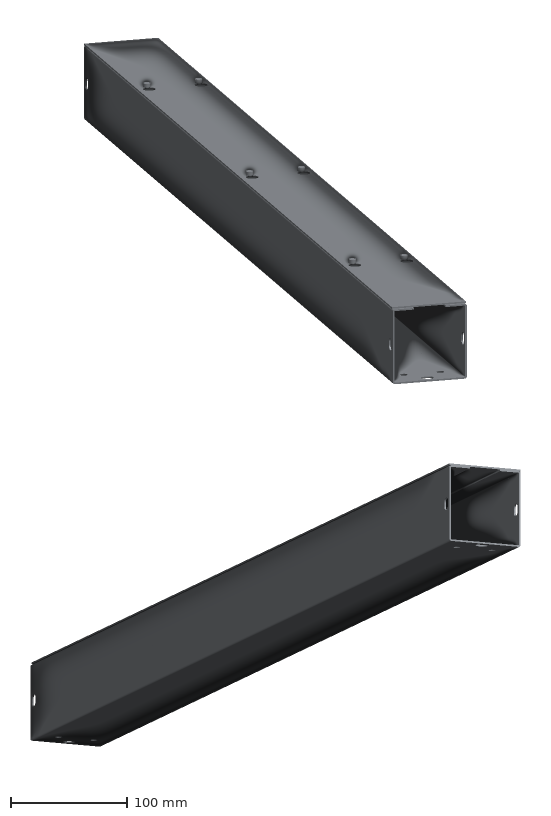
import cadquery as cq

LENGTH = 914.0
WIDTH = 67.0
CHANNEL_HEIGHT = 67.0

SHEET = 1.5
BEND_RADIUS = 2.0
LIP_WIDTH = 19.0

COVER_END_GAP = 3.0

HEAD_DIAMETER = 6.3
HEAD_HEIGHT = 3.5
SHANK_DIAMETER = 4.1
SCREW_LENGTH = 13.0
SCREW_PITCH = 304.5
SCREW_SPAN = 47.0

KEYHOLE_DIAMETER = 11.0
KEYHOLE_SLOT_WIDTH = 5.0
KEYHOLE_REACH = 7.0
KEYHOLE_SLACK = 2.0

END_SLOT_WIDTH = 8.0
END_SLOT_LENGTH = 11.0
END_SLOT_INSET = 7.0
MOUNT_HOLE_DIAMETER = 6.3
MOUNT_HOLE_INSET = 23.0
MOUNT_HOLE_SPAN = 33.0

UPRIGHT = 90

COVER_TOP = CHANNEL_HEIGHT + SHEET
HEIGHT = COVER_TOP + HEAD_HEIGHT
SCREW_POINTS = [
    (column * SCREW_PITCH, side * SCREW_SPAN / 2)
    for column in (-1, 0, 1)
    for side in (-1, 1)
]


def end_positions(inset):
    """X positions at the same inset from both ends of the channel."""
    return (-LENGTH / 2 + inset, LENGTH / 2 - inset)


def tube(width, height, bottom, radius):
    """Full-length bar with rounded long edges, standing on the given height."""
    return (
        cq.Workplane("XY")
        .box(LENGTH, width, height, centered=(True, True, False))
        .edges("|X")
        .fillet(radius)
        .translate((0, 0, bottom))
    )


def make_channel():
    """U-shaped trough with two inward lips, drilled for the screws and for mounting."""
    outside = tube(WIDTH, CHANNEL_HEIGHT, 0, BEND_RADIUS)
    inside = tube(WIDTH - 2 * SHEET, CHANNEL_HEIGHT - 2 * SHEET, SHEET, BEND_RADIUS - SHEET)
    mouth = (
        cq.Workplane("XY", origin=(0, 0, CHANNEL_HEIGHT / 2))
        .box(LENGTH, WIDTH - 2 * LIP_WIDTH, CHANNEL_HEIGHT, centered=(True, True, False))
    )
    channel = outside.cut(inside).cut(mouth)

    screw_holes = (
        cq.Workplane("XY", origin=(0, 0, CHANNEL_HEIGHT / 2))
        .pushPoints(SCREW_POINTS)
        .circle(SHANK_DIAMETER / 2)
        .extrude(CHANNEL_HEIGHT / 2)
    )
    side_slots = (
        cq.Workplane("XZ")
        .pushPoints([(x, COVER_TOP / 2) for x in end_positions(END_SLOT_INSET)])
        .slot2D(END_SLOT_LENGTH, END_SLOT_WIDTH, UPRIGHT)
        .extrude(WIDTH / 2, both=True)
    )
    floor_slots = (
        cq.Workplane("XY")
        .pushPoints([(x, 0) for x in end_positions(END_SLOT_INSET)])
        .slot2D(END_SLOT_LENGTH, END_SLOT_WIDTH, UPRIGHT)
        .extrude(SHEET)
    )
    mount_holes = (
        cq.Workplane("XY")
        .pushPoints([
            (x, side * MOUNT_HOLE_SPAN / 2)
            for x in end_positions(MOUNT_HOLE_INSET)
            for side in (-1, 1)
        ])
        .circle(MOUNT_HOLE_DIAMETER / 2)
        .extrude(SHEET)
    )
    return channel.cut(screw_holes).cut(side_slots).cut(floor_slots).cut(mount_holes)


def make_keyhole(x, y):
    """Cutter for one keyhole: a slot that ends just past the screw and opens into a round hole."""
    plane = cq.Workplane("XY", origin=(x, y, CHANNEL_HEIGHT))
    slot_end = plane.center(-KEYHOLE_SLACK, 0).circle(KEYHOLE_SLOT_WIDTH / 2).extrude(SHEET)
    slot_length = KEYHOLE_REACH + KEYHOLE_SLACK
    slot = (
        plane.center(KEYHOLE_REACH - slot_length / 2, 0)
        .rect(slot_length, KEYHOLE_SLOT_WIDTH)
        .extrude(SHEET)
    )
    entry = plane.center(KEYHOLE_REACH, 0).circle(KEYHOLE_DIAMETER / 2).extrude(SHEET)
    return slot_end.union(slot).union(entry)


def make_cover():
    """Flat plate on the lips, flush with the channel at -X and a little short at +X."""
    cover = (
        cq.Workplane("XY", origin=(-LENGTH / 2, 0, CHANNEL_HEIGHT))
        .box(LENGTH - COVER_END_GAP, WIDTH, SHEET, centered=(False, True, False))
    )
    for x, y in SCREW_POINTS:
        cover = cover.cut(make_keyhole(x, y))
    return cover


def make_screw(x, y):
    """Round-headed screw whose head rests on the cover."""
    head = (
        cq.Workplane("XY", origin=(x, y, COVER_TOP))
        .circle(HEAD_DIAMETER / 2)
        .extrude(HEAD_HEIGHT)
    )
    shank = (
        cq.Workplane("XY", origin=(x, y, HEIGHT - SCREW_LENGTH))
        .circle(SHANK_DIAMETER / 2)
        .extrude(SCREW_LENGTH - HEAD_HEIGHT)
    )
    return head.union(shank)


channel = make_channel()
cover = make_cover()
screws = [make_screw(x, y) for x, y in SCREW_POINTS]

result = cq.Compound.makeCompound(
    [channel.val(), cover.val(), *[screw.val() for screw in screws]]
)